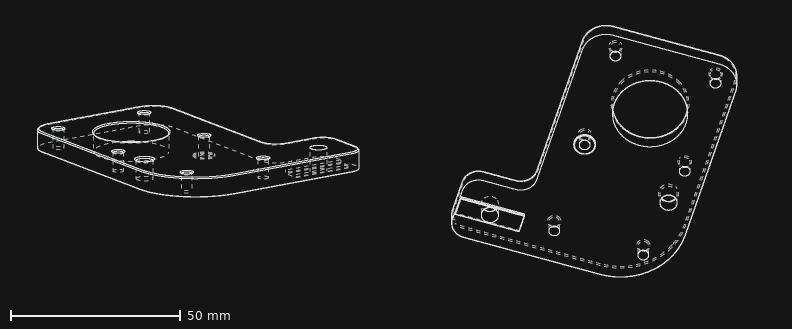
import cadquery as cq

length = 78.0
width = 67.5
plate_thickness = 6.0
total_height = 7.0
tab_width = 20.0
tab_length = 20.0
tab_radius = 5.0
left_radius = 7.3
right_radius = 20.1
edge_chamfer = 0.4

tab_left = length - tab_width
tab_center = length - tab_width / 2
body_width = width - tab_length

bore_center = 22.0
bore_diameter = 22.2
bore_chamfer = 0.4
screw_pitch = 31.0
screw_diameter = 3.2
screw_chamfer = 0.4
low_screw = bore_center - screw_pitch / 2
high_screw = bore_center + screw_pitch / 2
side_screw_y = 9.9

dowel_position = (49.0, 7.95)
dowel_diameter = 5.1
dowel_chamfer = 0.5
tab_hole_y = 57.4
tab_hole_diameter = 5.1

rib_width = 5.8
rib_height = total_height - plate_thickness
rib_chamfer = 0.2
pad_diameter = 6.5
pad_height = 0.5
pad_chamfer = 0.2


def make_plate():
    """L-shaped plate with rounded corners and a chamfered top edge."""
    outline = (
        cq.Workplane("XY")
        .moveTo(left_radius, 0)
        .lineTo(length - right_radius, 0)
        .radiusArc((length, right_radius), -right_radius)
        .lineTo(length, width - tab_radius)
        .radiusArc((length - tab_radius, width), -tab_radius)
        .lineTo(tab_left + tab_radius, width)
        .radiusArc((tab_left, width - tab_radius), -tab_radius)
        .lineTo(tab_left, body_width + tab_radius)
        .radiusArc((tab_left - tab_radius, body_width), tab_radius)
        .lineTo(left_radius, body_width)
        .radiusArc((0, body_width - left_radius), -left_radius)
        .lineTo(0, left_radius)
        .radiusArc((left_radius, 0), -left_radius)
        .close()
    )
    return outline.extrude(plate_thickness).faces(">Z").edges().chamfer(edge_chamfer)


def make_rib():
    """Locating rib running along the underside of the tab."""
    rib = cq.Workplane("XY").center(tab_center, width - tab_length / 2)
    rib = rib.rect(rib_width, tab_length).extrude(-rib_height)
    return rib.faces("<Z").edges("|Y or >Y").chamfer(rib_chamfer)


def make_pad():
    """Round pad under the upper right screw hole of the square."""
    pad = cq.Workplane("XY").center(high_screw, high_screw)
    pad = pad.circle(pad_diameter / 2).extrude(-pad_height)
    return pad.faces("<Z").edges().chamfer(pad_chamfer)


def make_hole(position, diameter, chamfer=0):
    """Cutter for a through hole, optionally chamfered at the top face."""
    x, y = position
    bottom = cq.Workplane("XY", origin=(x, y, -rib_height))
    cutter = bottom.circle(diameter / 2).extrude(total_height)
    if chamfer:
        mouth = cq.Workplane("XY", origin=(x, y, plate_thickness))
        mouth = mouth.circle(diameter / 2 + chamfer).extrude(-chamfer, taper=45)
        cutter = cutter.union(mouth)
    return cutter


screw_positions = [(x, y) for x in (low_screw, high_screw) for y in (low_screw, high_screw)]
screw_positions += [(tab_center, side_screw_y), (tab_center, high_screw)]

result = make_plate().union(make_rib()).union(make_pad())
result = result.cut(make_hole((bore_center, bore_center), bore_diameter, bore_chamfer))
result = result.cut(make_hole(dowel_position, dowel_diameter, dowel_chamfer))
result = result.cut(make_hole((tab_center, tab_hole_y), tab_hole_diameter))
for position in screw_positions:
    result = result.cut(make_hole(position, screw_diameter, screw_chamfer))